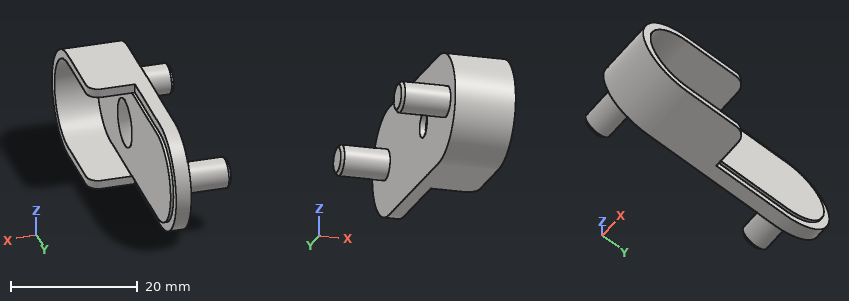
import cadquery as cq

length = 44.0
width = 18.0
plate_thickness = 2.5
pad_height = 0.5
wall_thickness = 1.5
wall_height = 10.0
wall_length = 21.0
wall_corner_radius = 2.0

pin_diameter = 5.0
pin_length = 8.0
pin_chamfer = 0.5
near_pin_y = 5.0
far_pin_y = 37.0

hole_y = 17.0
hole_diameter = 4.0
countersink_diameter = 8.0

pad_top = plate_thickness + pad_height


def rounded_bar(inset, start, end):
    """Stadium-shaped bar along Y, inset from the outer outline, between two X levels."""
    return (
        cq.Workplane("YZ", origin=(start, length / 2, 0))
        .slot2D(length - 2 * inset, width - 2 * inset)
        .extrude(end - start)
    )


def cylinder(y, diameter, start, end):
    """Cylinder along X on the centre plane."""
    return cq.Workplane("YZ", origin=(start, y, 0)).circle(diameter / 2).extrude(end - start)


def raised_wall():
    """U-shaped wall around the near end, open on top and towards +Y."""
    envelope = (
        cq.Workplane("XY")
        .box(wall_height, wall_length, width, centered=(False, False, True))
        .edges(">X and >Y")
        .fillet(wall_corner_radius)
    )
    ring = rounded_bar(0, 0, wall_height).cut(rounded_bar(wall_thickness, 0, wall_height))
    return ring.intersect(envelope)


def pin(y):
    """Locating pin with a chamfered tip."""
    return cylinder(y, pin_diameter, -pin_length, 0).faces("<X").chamfer(pin_chamfer)


result = rounded_bar(0, 0, plate_thickness)
result = result.union(rounded_bar(wall_thickness, 0, pad_top))
result = result.union(raised_wall())

for pin_y in (near_pin_y, far_pin_y):
    result = result.union(pin(pin_y))

countersink_radius = countersink_diameter / 2
countersink_depth = countersink_radius - hole_diameter / 2
countersink = cq.Solid.makeCone(
    countersink_radius,
    hole_diameter / 2,
    countersink_depth,
    pnt=cq.Vector(pad_top, hole_y, 0),
    dir=cq.Vector(-1, 0, 0),
)
result = result.cut(cylinder(hole_y, hole_diameter, 0, pad_top))
result = result.cut(cq.Workplane(obj=countersink))